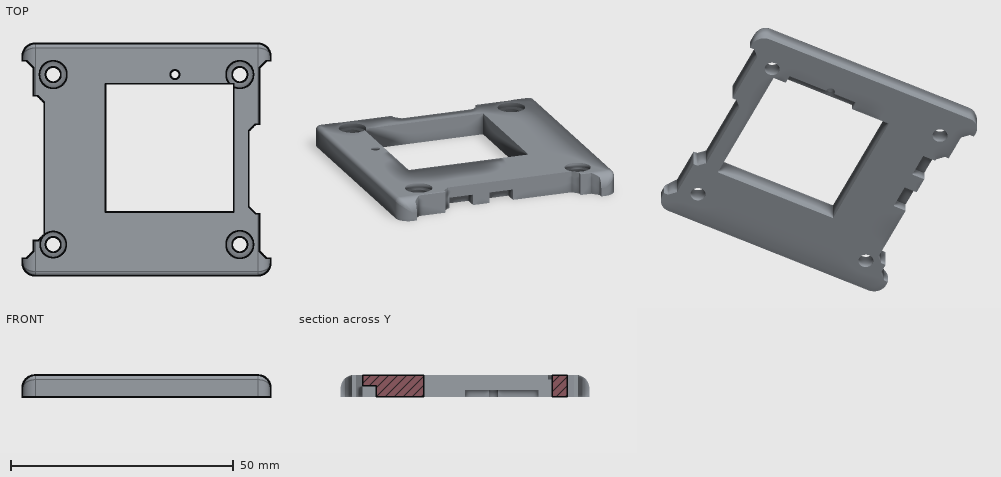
import cadquery as cq

LENGTH_X = 56.01
WIDTH_Y = 52.37
HEIGHT = 5.0
SIDE_RADIUS = 3.0
FRONT_RADIUS = 1.0

STEP_HALF_X = 25.5
OUTER_HALF_Y = 22.2
CHAMFER = 1.5
SHORT_CHAMFER = 1.3
INNER_HALF_X = 23.06
LEFT_INNER_Y = (-18.2, 14.35)
RIGHT_INNER_Y = (-12.15, 7.95)

WINDOW_SIZE = 28.83
WINDOW_X = 5.2
WINDOW_Y = 2.63

SCREW_HALF_X = 21.01
SCREW_HALF_Y = 19.14
SCREW_DIAMETER = 3.4
HEAD_DIAMETER = 6.2
NARROW_HEAD_DIAMETER = 5.9
HEAD_DEPTH = 1.0

PINHOLE_X = 6.4
PINHOLE_DIAMETER = 2.0

BUTTON_YS = (0.0, 9.6)
BUTTON_WIDTH = 5.66
BUTTON_HEIGHT = 2.5
BUTTON_DEPTH = 3.0

RECESS_X_MIN = 0.0
RECESS_X_MAX = 16.6
RECESS_DEPTH_Y = 2.0
RECESS_HEIGHT = 1.6


def bottom_box(x_min, x_max, y_min, y_max, height):
    """Box standing on Z = 0, used to cut a pocket that is open below."""
    box = cq.Workplane("XY").box(x_max - x_min, y_max - y_min, height, centered=False)
    return box.translate((x_min, y_min, 0))


def rounded_plate():
    """Plate with large rounds at its corners and sides, small ones along the top X edges."""
    plate = cq.Workplane("XY").box(LENGTH_X, WIDTH_Y, HEIGHT, centered=(True, True, False))
    plate = plate.edges("|Z").fillet(SIDE_RADIUS)
    profile = (
        cq.Workplane("XZ")
        .rect(LENGTH_X, 2 * HEIGHT)
        .extrude(WIDTH_Y / 2, both=True)
        .edges("|Y and >Z")
        .fillet(SIDE_RADIUS)
    )
    plate = plate.intersect(profile)
    return plate.faces(">Z").edges("|X").fillet(FRONT_RADIUS)


def side_relief(side, wall_x, y_min, y_max, lower_chamfer=CHAMFER):
    """Cutter that clears one side down to wall_x, with chamfered ends; side is -1 or 1."""
    wall = side * wall_x
    outside = side * LENGTH_X
    outline = [
        (outside, y_min),
        (side * (wall_x + lower_chamfer), y_min),
        (wall, y_min + lower_chamfer),
        (wall, y_max - CHAMFER),
        (side * (wall_x + CHAMFER), y_max),
        (outside, y_max),
    ]
    return cq.Workplane("XY").polyline(outline).close().extrude(HEIGHT)


def cut_side_reliefs(plate):
    for side in (-1, 1):
        plate = plate.cut(side_relief(side, STEP_HALF_X, -OUTER_HALF_Y, OUTER_HALF_Y))
    plate = plate.cut(side_relief(-1, INNER_HALF_X, *LEFT_INNER_Y, SHORT_CHAMFER))
    return plate.cut(side_relief(1, INNER_HALF_X, *RIGHT_INNER_Y))


def cut_window(plate):
    window = cq.Workplane("XY").rect(WINDOW_SIZE, WINDOW_SIZE).extrude(HEIGHT)
    window = window.translate((WINDOW_X, WINDOW_Y, 0))
    edge_y = WINDOW_Y + WINDOW_SIZE / 2
    recess_end = edge_y + RECESS_DEPTH_Y
    recess = bottom_box(RECESS_X_MIN, RECESS_X_MAX, WINDOW_Y, recess_end, RECESS_HEIGHT)
    return plate.cut(window).cut(recess)


def vertical_cylinder(x, y, diameter, z_min):
    """Cutter that starts at z_min and reaches through the top face."""
    return cq.Workplane("XY", origin=(x, y, z_min)).circle(diameter / 2).extrude(HEIGHT)


def cut_holes(plate):
    for x in (-SCREW_HALF_X, SCREW_HALF_X):
        for y in (-SCREW_HALF_Y, SCREW_HALF_Y):
            near_relief = x < 0 and y < 0
            head_diameter = NARROW_HEAD_DIAMETER if near_relief else HEAD_DIAMETER
            plate = plate.cut(vertical_cylinder(x, y, SCREW_DIAMETER, 0))
            plate = plate.cut(vertical_cylinder(x, y, head_diameter, HEIGHT - HEAD_DEPTH))
    return plate.cut(vertical_cylinder(PINHOLE_X, SCREW_HALF_Y, PINHOLE_DIAMETER, 0))


def cut_button_pockets(plate):
    pocket_end = -INNER_HALF_X + BUTTON_DEPTH
    half_width = BUTTON_WIDTH / 2
    for y in BUTTON_YS:
        pocket = bottom_box(-LENGTH_X / 2, pocket_end, y - half_width, y + half_width, BUTTON_HEIGHT)
        plate = plate.cut(pocket)
    return plate


body = rounded_plate()
body = cut_side_reliefs(body)
body = cut_window(body)
body = cut_holes(body)
result = cut_button_pockets(body)